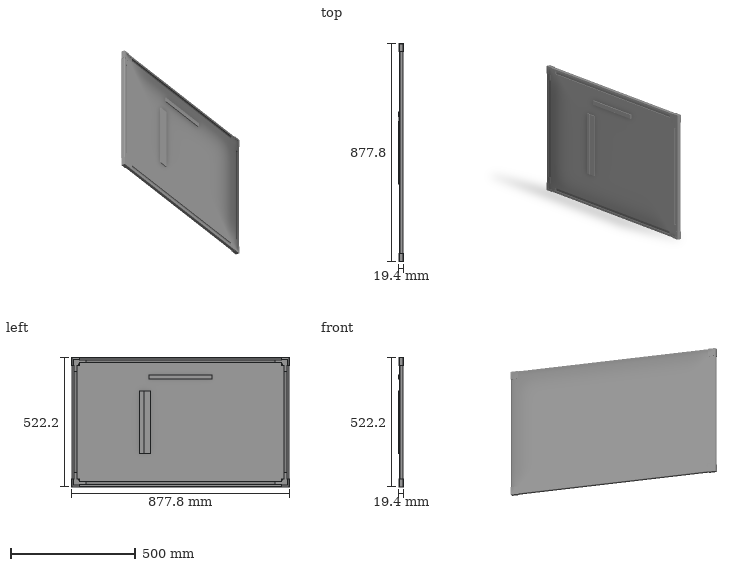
import cadquery as cq

depth = 19.35
width = 877.82
height = 522.22

strip_face = -depth / 2
strip_rise = 2.5
cap_face = strip_face + strip_rise
cap_back = depth / 2
cap_shell = 1.0
rail_face = cap_face + cap_shell
rail_back = cap_back - cap_shell
groove_depth = 5.0
groove_floor = rail_face + groove_depth
bracket_drop = 0.8
bracket_face = rail_face + bracket_drop
panel_drop = 1.0
panel_face = rail_face + panel_drop

rail_chamfer = 1.1
groove_outer = 10.6
groove_inner = 21.5
cap_length = 32.0
cap_lip = 8.5
bracket_reach = 57.5
bracket_corner = 32.7
notch_size = 5.3
notch_drop = 0.15

strip_length = 252.0
horizontal_strip_width = 17.0
horizontal_strip_z = 181.5
high_strip_width = 17.8
low_strip_width = 26.5
low_strip_drop = 1.0
strip_joint_y = 146.7


def block(x_range, y_range, z_range):
    """Box spanning the given (low, high) ranges."""
    size = [high - low for low, high in (x_range, y_range, z_range)]
    low_corner = (x_range[0], y_range[0], z_range[0])
    return cq.Workplane("XY").box(*size, centered=False).translate(low_corner)


def centred_plate(x_range, inset):
    """Plate over the whole part, held back from the outer size by inset."""
    half_y = width / 2 - inset
    half_z = height / 2 - inset
    return block(x_range, (-half_y, half_y), (-half_z, half_z))


def make_frame_and_panel():
    """Chamfered rails around the panel, with a groove between the two."""
    body = centred_plate((rail_face, rail_back), cap_shell).edges().chamfer(rail_chamfer)
    body = body.cut(centred_plate((rail_face, groove_floor), groove_outer))
    return body.union(centred_plate((panel_face, rail_back), groove_inner))


def corner_block(x_range, y_inset, z_inset):
    """Box at the +Y +Z corner, from (near, far) distances inward of its two sides."""
    y_range = (width / 2 - y_inset[1], width / 2 - y_inset[0])
    z_range = (height / 2 - z_inset[1], height / 2 - z_inset[0])
    return block(x_range, y_range, z_range)


def make_corner():
    """Square corner cap, and the bracket whose legs fill the ends of the groove."""
    square = (0, cap_length)
    leg_side = (groove_outer, groove_inner)
    leg_run = (groove_outer, bracket_reach)
    heel = (groove_outer, bracket_corner)
    bracket_range = (bracket_face, groove_floor)
    return (
        corner_block((cap_face, cap_back), square, square)
        .union(corner_block(bracket_range, leg_run, leg_side))
        .union(corner_block(bracket_range, leg_side, leg_run))
        .union(corner_block(bracket_range, heel, heel))
    )


def make_corner_recess():
    """Material removed inside the cap's L-shaped lip, and the small notch in the bracket."""
    inside_lip = (cap_lip, bracket_corner)
    notch = (bracket_corner - notch_size, bracket_corner)
    recess = corner_block((cap_face, bracket_face), inside_lip, inside_lip)
    return recess.union(corner_block((cap_face, bracket_face + notch_drop), notch, notch))


def at_four_corners(piece):
    """The +Y +Z corner piece and its three mirror images."""
    upper_pair = [piece, piece.mirror("XZ")]
    return upper_pair + [upper.mirror("XY") for upper in upper_pair]


def make_strips():
    """One horizontal strip, and a vertical pair with a small step between them."""
    lengthwise = (-strip_length / 2, strip_length / 2)
    horizontal_bottom = horizontal_strip_z - horizontal_strip_width / 2
    horizontal = block(
        (strip_face, panel_face),
        lengthwise,
        (horizontal_bottom, horizontal_bottom + horizontal_strip_width),
    )
    low = block(
        (strip_face + low_strip_drop, panel_face),
        (strip_joint_y - low_strip_width, strip_joint_y),
        lengthwise,
    )
    high = block(
        (strip_face, panel_face),
        (strip_joint_y, strip_joint_y + high_strip_width),
        lengthwise,
    )
    return [horizontal, high, low]


result = make_frame_and_panel()
for corner in at_four_corners(make_corner()):
    result = result.union(corner)
for recess in at_four_corners(make_corner_recess()):
    result = result.cut(recess)
for strip in make_strips():
    result = result.union(strip)